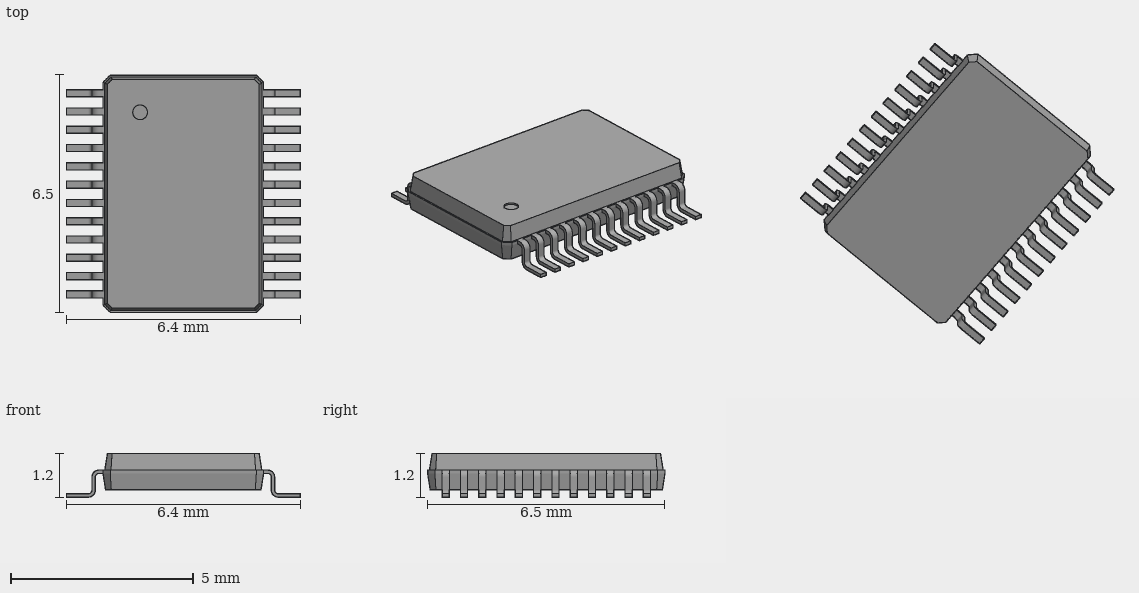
import cadquery as cq
import math

lead_span = 6.4
body_length = 6.5
total_height = 1.2

body_width = 4.4
standoff = 0.2
corner_chamfer = 0.2
upper_step = 0.05
draft_angle = 9.0

leads_per_side = 12
lead_pitch = 0.5
lead_width = 0.2
lead_thickness = 0.1
lead_top = 0.75
shin_outer = 2.5
inner_bend = 0.1
outer_bend = inner_bend + lead_thickness

mark_diameter = 0.4
mark_depth = 0.045
mark_x = -1.18
mark_y = 2.23

band_top = lead_top
band_bottom = band_top - lead_thickness


def body_outline(z, inset=0.0):
    """Rectangle with 45 degree corners, every side moved inward by the inset."""
    chamfer = corner_chamfer - inset * (2 - math.sqrt(2))
    half_x = body_width / 2 - inset
    half_y = body_length / 2 - inset
    points = [
        (half_x, half_y - chamfer),
        (half_x - chamfer, half_y),
        (chamfer - half_x, half_y),
        (-half_x, half_y - chamfer),
        (-half_x, chamfer - half_y),
        (chamfer - half_x, -half_y),
        (half_x - chamfer, -half_y),
        (half_x, chamfer - half_y),
    ]
    return cq.Workplane("XY").workplane(offset=z).polyline(points).close()


def make_body():
    """Straight band with a drafted half below it and a stepped-in drafted half above."""
    band = body_outline(band_bottom).extrude(lead_thickness)
    lower = body_outline(band_bottom).extrude(standoff - band_bottom, taper=draft_angle)
    upper = body_outline(band_top, upper_step).extrude(total_height - band_top, taper=draft_angle)
    return band.union(lower).union(upper)


def make_lead():
    """One lead on the +X side, centred on Y = 0 and rooted inside the body."""
    root = body_width / 2 - outer_bend
    tip = lead_span / 2
    shin_inner = shin_outer - lead_thickness
    return (
        cq.Workplane("XZ")
        .moveTo(root, lead_top)
        .lineTo(shin_outer - outer_bend, lead_top)
        .radiusArc((shin_outer, lead_top - outer_bend), outer_bend)
        .lineTo(shin_outer, outer_bend)
        .radiusArc((shin_outer + inner_bend, lead_thickness), -inner_bend)
        .lineTo(tip, lead_thickness)
        .lineTo(tip, 0)
        .lineTo(shin_inner + outer_bend, 0)
        .radiusArc((shin_inner, outer_bend), outer_bend)
        .lineTo(shin_inner, lead_top - outer_bend)
        .radiusArc((shin_inner - inner_bend, band_bottom), -inner_bend)
        .lineTo(root, band_bottom)
        .close()
        .extrude(lead_width / 2, both=True)
    )


def cut_mark(body):
    """Sink the shallow round mark into the top face."""
    mark = (
        cq.Workplane("XY")
        .workplane(offset=total_height - mark_depth)
        .center(mark_x, mark_y)
        .circle(mark_diameter / 2)
        .extrude(mark_depth)
    )
    return body.cut(mark)


result = cut_mark(make_body())

right_lead = make_lead()
left_lead = right_lead.mirror("YZ")
first_lead_y = -lead_pitch * (leads_per_side - 1) / 2
for index in range(leads_per_side):
    shift = (0, first_lead_y + index * lead_pitch, 0)
    result = result.union(right_lead.translate(shift))
    result = result.union(left_lead.translate(shift))